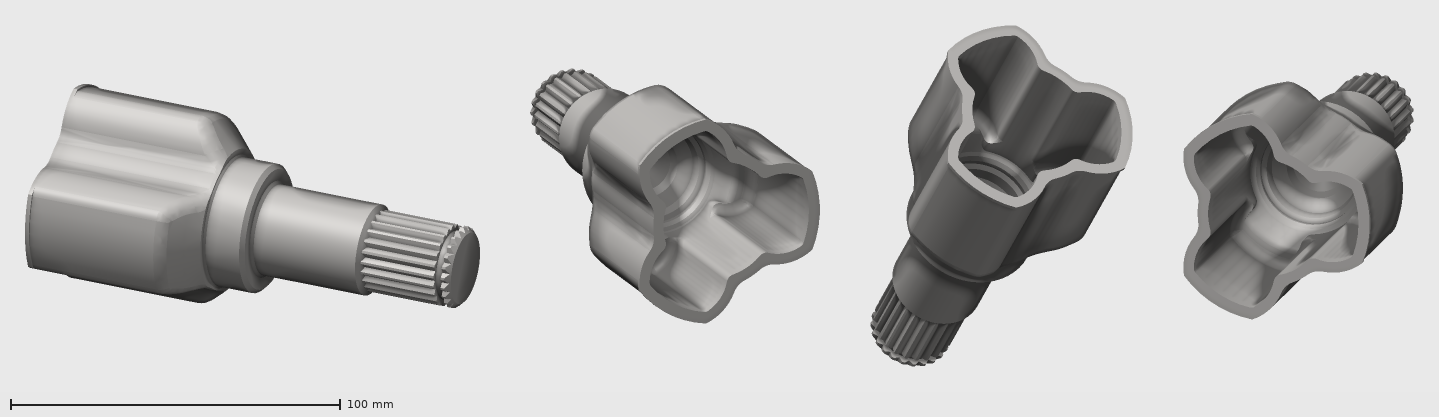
import cadquery as cq
import math

TOTAL_LENGTH = 131.9
CUT_CLEARANCE = 0.7

LOBE_COUNT = 3
FIRST_LOBE_ANGLE = 180.0
LOBE_CENTER_RADIUS = 20.0
LOBE_RADIUS = 16.0
WAIST_RADIUS = 21.5
WAIST_BLEND = 6.3
HOUSING_RADIUS = 31.9
LOBE_CORNER_ROUND = 4.6
RIM_RADIUS = 32.6
RIM_WIDTH = 1.3

SHOULDER_X = 44.5
SHOULDER_END_X = 53.8
SHOULDER_ROUND = 5.3

WALL = 3.3
CAVITY_RADIUS = HOUSING_RADIUS - 2.9
CAVITY_WAIST_BLEND = 2.6
CAVITY_CORNER_ROUND = 2.0
POCKET_FLOOR_X = 46.8
POCKET_FLOOR_ROUND = 3.3
FLOOR_LIP_RADIUS = 23.9
FLOOR_LIP_ROUND = 2.9

DRILL_SLOPE = 0.7
BORE_MOUTH_RADIUS = 17.8
BORE_ENTRY_RADIUS = 16.8
BORE_ENTRY_LENGTH = 1.3
BORE_RADIUS = 15.8
BORE_END_X = 55.4
BORE_LEDGE_RADIUS = 14.4
BORE_LEDGE_LENGTH = 0.8
THROAT_RADIUS = 13.6
THROAT_X = 59.4
DRILL_CONE_RADIUS = 9.6
DRILL_RADIUS = 8.2
DRILL_CONE_LENGTH = 2.6

COLLAR_RADIUS = 20.0
COLLAR_END_X = 66.9
COLLAR_CHAMFER = 1.3
COLLAR_NECK = 0.7
COLLAR_FOOT = 0.9
SHAFT_RADIUS = 14.1
SHAFT_END_X = 102.6
SHAFT_CHAMFER = 1.2
SPLINE_RADIUS = 12.7
SPLINE_ROOT_RADIUS = 11.5
FIRST_GAP_ANGLE = 180.0
TOOTH_COUNT = 23
TOOTH_LAND = 0.8
GROOVE_X = 126.8
GROOVE_END_X = 129.1
GROOVE_RADIUS = 10.7
TIP_CHAMFER = 1.6
GAP_RUNOUT = 0.9


def disc(radius, length):
    """Round bar along +X starting at X = 0."""
    return cq.Workplane("YZ").circle(radius).extrude(length)


def revolve_about_x(points):
    """Solid of revolution from (x, radius) points; the first and last lie on the axis."""
    return cq.Workplane("XY").polyline(points).close().revolve(360, (0, 0, 0), (1, 0, 0))


def lobe_prism(waist, lobe, outer, blend, corner, length):
    """Three-lobed bar along +X with blended waists and, if wanted, rounded lobe corners."""
    lobes = (
        cq.Workplane("YZ")
        .polarArray(LOBE_CENTER_RADIUS, FIRST_LOBE_ANGLE, 360, LOBE_COUNT)
        .circle(lobe)
        .extrude(length)
    )
    prism = disc(waist, length).union(lobes.intersect(disc(outer, length)))

    waist_edges = []
    corner_edges = []
    pitch = 360 / LOBE_COUNT
    for edge in prism.edges("|X").vals():
        center = edge.Center()
        angle = math.degrees(math.atan2(center.z, center.y)) - FIRST_LOBE_ANGLE
        from_lobe = abs((angle + pitch / 2) % pitch - pitch / 2)
        if from_lobe < 1:
            continue
        near_axis = math.hypot(center.y, center.z) < (waist + outer) / 2
        (waist_edges if near_axis else corner_edges).append(edge)

    prism = prism.newObject(waist_edges).fillet(blend)
    if corner > 0:
        prism = prism.newObject(corner_edges).fillet(corner)
    return prism


def make_housing():
    """Outside of the housing, with its rounded conical shoulder and thin rim."""
    cone_tip_x = SHOULDER_X + HOUSING_RADIUS
    blank_radius = HOUSING_RADIUS + CUT_CLEARANCE
    cone_end_x = cone_tip_x - COLLAR_RADIUS / 2
    body = lobe_prism(WAIST_RADIUS, LOBE_RADIUS, HOUSING_RADIUS, WAIST_BLEND,
                      LOBE_CORNER_ROUND, cone_end_x)
    body = body.intersect(revolve_about_x([
        (0, 0),
        (0, blank_radius),
        (cone_tip_x - blank_radius, blank_radius),
        (cone_end_x, cone_tip_x - cone_end_x),
        (cone_end_x, 0),
    ]))
    shoulder_edges = [
        edge for edge in body.edges().vals()
        if SHOULDER_X - 1.3 < edge.BoundingBox().xmin < cone_end_x - 1.3
    ]
    body = body.newObject(shoulder_edges).fillet(SHOULDER_ROUND)
    body = body.intersect(disc(blank_radius, SHOULDER_END_X))
    rim = lobe_prism(WAIST_RADIUS, LOBE_RADIUS, RIM_RADIUS, WAIST_BLEND, 0, RIM_WIDTH)
    return body.union(rim)


def make_cavity():
    """Lobed cavity with a pocket floor in each lobe, sloping down into a stepped bore."""
    inner_waist = WAIST_RADIUS - WALL
    inner_lobe = LOBE_RADIUS - WALL
    cavity = lobe_prism(inner_waist, inner_lobe, CAVITY_RADIUS,
                        CAVITY_WAIST_BLEND, CAVITY_CORNER_ROUND, POCKET_FLOOR_X)
    cavity = cavity.faces(">X").edges().fillet(POCKET_FLOOR_ROUND)

    slope_angle = math.radians(45)
    half_angle = slope_angle / 2
    lip_middle = (POCKET_FLOOR_X + FLOOR_LIP_ROUND * (1 - math.cos(half_angle)),
                  FLOOR_LIP_RADIUS - FLOOR_LIP_ROUND * math.sin(half_angle))
    slope_x = POCKET_FLOOR_X + FLOOR_LIP_ROUND * (1 - math.cos(slope_angle))
    slope_radius = FLOOR_LIP_RADIUS - FLOOR_LIP_ROUND * math.sin(slope_angle)
    mouth_x = slope_x + slope_radius - BORE_MOUTH_RADIUS
    overlap_x = POCKET_FLOOR_X - POCKET_FLOOR_ROUND
    slope = (
        cq.Workplane("XY")
        .moveTo(overlap_x, 0)
        .lineTo(overlap_x, FLOOR_LIP_RADIUS)
        .lineTo(POCKET_FLOOR_X, FLOOR_LIP_RADIUS)
        .threePointArc(lip_middle, (slope_x, slope_radius))
        .lineTo(mouth_x, BORE_MOUTH_RADIUS)
        .lineTo(mouth_x, 0)
        .close()
        .revolve(360, (0, 0, 0), (1, 0, 0))
    )
    slope = slope.intersect(
        lobe_prism(inner_waist, inner_lobe - POCKET_FLOOR_ROUND, CAVITY_RADIUS,
                   CAVITY_WAIST_BLEND, 0, mouth_x))

    entry_x = mouth_x + (BORE_MOUTH_RADIUS - BORE_ENTRY_RADIUS) * DRILL_SLOPE
    drill_cone_x = THROAT_X + (THROAT_RADIUS - DRILL_CONE_RADIUS) * DRILL_SLOPE
    drill_x = drill_cone_x + DRILL_CONE_LENGTH
    bore = revolve_about_x([
        (overlap_x, 0),
        (overlap_x, BORE_MOUTH_RADIUS),
        (mouth_x, BORE_MOUTH_RADIUS),
        (entry_x, BORE_ENTRY_RADIUS),
        (entry_x + BORE_ENTRY_LENGTH, BORE_RADIUS),
        (BORE_END_X, BORE_RADIUS),
        (BORE_END_X + BORE_LEDGE_LENGTH, BORE_LEDGE_RADIUS),
        (THROAT_X, THROAT_RADIUS),
        (drill_cone_x, DRILL_CONE_RADIUS),
        (drill_x, DRILL_RADIUS),
        (drill_x + DRILL_RADIUS * DRILL_SLOPE, 0),
    ])
    return cavity.union(slope).union(bore)


def make_shaft():
    """Collar, shaft and spline blank turned in one piece."""
    return revolve_about_x([
        (SHOULDER_END_X, 0),
        (SHOULDER_END_X, COLLAR_RADIUS + COLLAR_NECK),
        (SHOULDER_END_X + COLLAR_NECK, COLLAR_RADIUS),
        (COLLAR_END_X - COLLAR_CHAMFER, COLLAR_RADIUS),
        (COLLAR_END_X, COLLAR_RADIUS - COLLAR_CHAMFER),
        (COLLAR_END_X, SHAFT_RADIUS + COLLAR_FOOT),
        (COLLAR_END_X + COLLAR_FOOT, SHAFT_RADIUS),
        (SHAFT_END_X - SHAFT_CHAMFER, SHAFT_RADIUS),
        (SHAFT_END_X, SPLINE_RADIUS),
        (GROOVE_X, SPLINE_RADIUS),
        (GROOVE_X, GROOVE_RADIUS),
        (GROOVE_END_X, GROOVE_RADIUS),
        (GROOVE_END_X, SPLINE_RADIUS),
        (TOTAL_LENGTH - TIP_CHAMFER, SPLINE_RADIUS),
        (TOTAL_LENGTH, SPLINE_RADIUS - TIP_CHAMFER),
        (TOTAL_LENGTH, 0),
    ])


def make_tooth_gaps():
    """V-shaped gaps between the spline teeth, running out by the shaft."""
    half_gap = math.pi / TOOTH_COUNT - TOOTH_LAND / (2 * SPLINE_RADIUS)
    flank_slope = SPLINE_RADIUS * math.sin(half_gap) / (
        SPLINE_RADIUS * math.cos(half_gap) - SPLINE_ROOT_RADIUS)
    mouth_radius = SPLINE_RADIUS + CUT_CLEARANCE
    mouth_half_width = (mouth_radius - SPLINE_ROOT_RADIUS) * flank_slope
    gap = (
        cq.Workplane("YZ", origin=(SHAFT_END_X, 0, 0))
        .moveTo(SPLINE_ROOT_RADIUS, 0)
        .lineTo(mouth_radius, mouth_half_width)
        .lineTo(mouth_radius, -mouth_half_width)
        .close()
        .extrude(TOTAL_LENGTH - SHAFT_END_X)
    )
    runout = revolve_about_x([
        (SHAFT_END_X, 0),
        (SHAFT_END_X, SPLINE_RADIUS),
        (SHAFT_END_X + GAP_RUNOUT, SPLINE_ROOT_RADIUS),
        (SHAFT_END_X + GAP_RUNOUT, 0),
    ])
    gap = gap.cut(runout)
    gaps = cq.Workplane("YZ")
    for index in range(TOOTH_COUNT):
        angle = FIRST_GAP_ANGLE + index * 360 / TOOTH_COUNT
        gaps = gaps.add(gap.rotate((0, 0, 0), (1, 0, 0), angle))
    return gaps.combine()


result = make_housing().union(make_shaft()).cut(make_cavity()).cut(make_tooth_gaps())